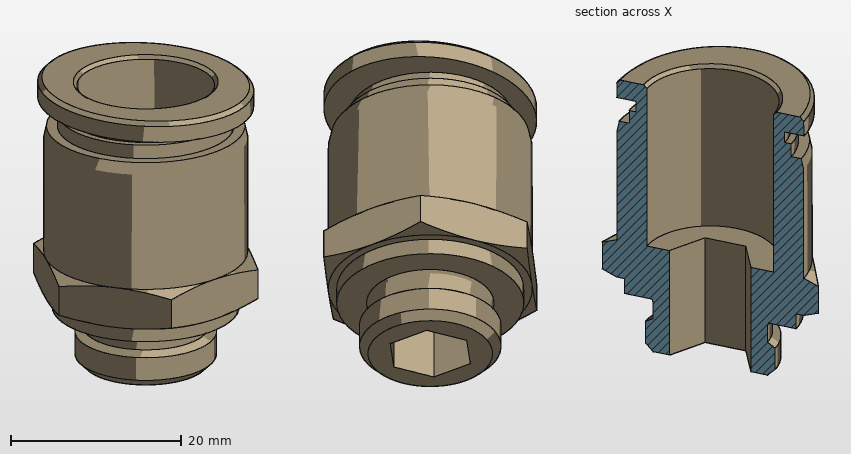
import cadquery as cq
import math

total_height = 35.5
thread_chamfer = 1.0
thread_top = 3.87
relief_bottom = 4.47
relief_top = 6.53
flange_bottom = 7.0
nut_bottom = 8.98
nut_top = 14.02
body_taper_start = 28.5
body_top = 29.95
shoulder_top = 31.65
collar_bottom = 33.0

thread_diameter = 16.65
relief_diameter = 14.7
relief_flare_diameter = 14.98
flange_diameter = 22.0
body_diameter = 24.0
body_top_diameter = 23.35
shoulder_diameter = 20.8
neck_diameter = 19.15

nut_across_flats = body_diameter
nut_chamfer_angle = 21.0

collar_length = 27.0
collar_width = body_diameter
collar_chamfer = 0.5

bore_diameter = 16.2
bore_chamfer = 0.43
bore_floor = nut_top
key_across_flats = 9.0


def revolve_profile(points):
    """Turn a closed (radius, height) outline around the Z axis."""
    return cq.Workplane("XZ").polyline(points).close().revolve(360, (0, 0, 0), (0, 1, 0))


def hex_prism(across_flats, bottom, top):
    """Hexagonal prism along Z with two flats facing +X and -X."""
    across_corners = across_flats / math.cos(math.radians(30))
    prism = cq.Workplane("XY").polygon(6, across_corners).extrude(top - bottom)
    return prism.rotate((0, 0, 0), (0, 0, 1), 30).translate((0, 0, bottom))


def make_turned_body():
    """Thread, relief groove, flange, body and neck as one stepped shaft."""
    steps = [
        (thread_diameter - 2 * thread_chamfer, 0),
        (thread_diameter, thread_chamfer),
        (thread_diameter, thread_top),
        (relief_diameter, relief_bottom),
        (relief_diameter, relief_top),
        (relief_flare_diameter, flange_bottom),
        (flange_diameter, flange_bottom),
        (flange_diameter, nut_bottom),
        (body_diameter, nut_bottom),
        (body_diameter, body_taper_start),
        (body_top_diameter, body_top),
        (shoulder_diameter, body_top),
        (shoulder_diameter, shoulder_top),
        (neck_diameter, shoulder_top),
        (neck_diameter, collar_bottom),
    ]
    outline = [(diameter / 2, height) for diameter, height in steps]
    return revolve_profile([(0, 0)] + outline + [(0, collar_bottom)])


def make_nut():
    """Hexagon whose corners are cut by a cone at both ends."""
    face_radius = nut_across_flats / 2
    corner_radius = face_radius / math.cos(math.radians(30))
    corner_drop = (corner_radius - face_radius) * math.tan(math.radians(nut_chamfer_angle))
    envelope = revolve_profile([
        (0, nut_bottom),
        (face_radius, nut_bottom),
        (corner_radius, nut_bottom + corner_drop),
        (corner_radius, nut_top - corner_drop),
        (face_radius, nut_top),
        (0, nut_top),
    ])
    return hex_prism(nut_across_flats, nut_bottom, nut_top).intersect(envelope)


def make_collar():
    """Elliptical release collar with a chamfered top edge."""
    collar = cq.Workplane("XY").workplane(offset=collar_bottom)
    collar = collar.ellipse(collar_length / 2, collar_width / 2).extrude(total_height - collar_bottom)
    return collar.faces(">Z").edges().chamfer(collar_chamfer)


def make_bore():
    """Tube bore with a flat floor and a chamfered mouth."""
    radius = bore_diameter / 2
    return revolve_profile([
        (0, bore_floor),
        (radius, bore_floor),
        (radius, total_height - bore_chamfer),
        (radius + bore_chamfer, total_height),
        (0, total_height),
    ])


result = make_turned_body().union(make_nut()).union(make_collar())
result = result.cut(make_bore()).cut(hex_prism(key_across_flats, 0, bore_floor))